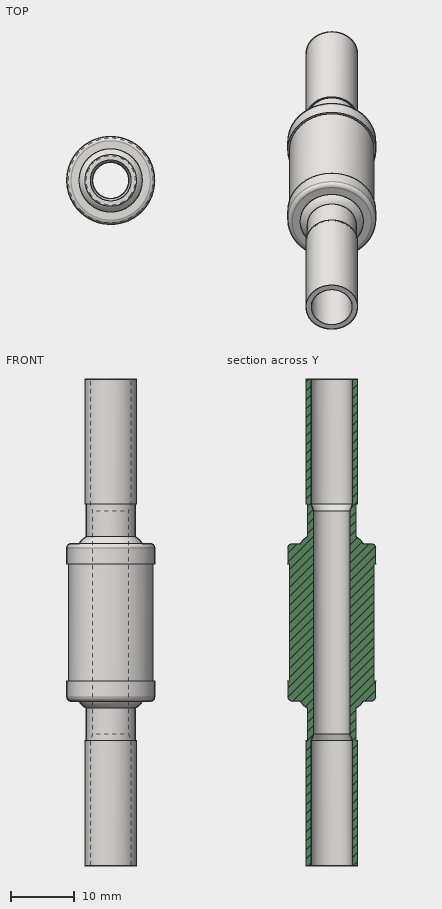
import cadquery as cq
import math

total_length = 76.2
half_length = total_length / 2
neck_end = 18.5
collar_end = 13.4
cap_end = 12.35
cap_start = 9.15

tube_radius = 8.1 / 2
neck_radius = 7.7 / 2
collar_radius = 9.9 / 2
cap_radius = 13.8 / 2
body_radius = 13.25 / 2
cap_edge_radius = 0.7

collar_bulge = 0.115
collar_height = collar_end - cap_end
collar_run = collar_radius - neck_radius
collar_slope_length = math.hypot(collar_run, collar_height)
collar_middle = (
    (collar_radius + neck_radius) / 2 + collar_bulge * collar_height / collar_slope_length,
    (cap_end + collar_end) / 2 + collar_bulge * collar_run / collar_slope_length,
)

cap_edge_inset = cap_edge_radius * (1 - math.sqrt(0.5))

mouth_radius = 6.4 / 2
bore_radius = 5.65 / 2
taper_length = 1.1
taper_start = neck_end
taper_end = taper_start - taper_length


def revolve_about_z(profile):
    """Turn a closed XZ profile through a full circle about the Z axis."""
    return profile.revolve(360, (0, 0, 0), (0, 1, 0))


def upper_end():
    """Outer shape of the upper end: cap, collar, neck and tube."""
    return revolve_about_z(
        cq.Workplane("XZ")
        .moveTo(0, cap_start)
        .lineTo(cap_radius, cap_start)
        .lineTo(cap_radius, cap_end - cap_edge_radius)
        .threePointArc(
            (cap_radius - cap_edge_inset, cap_end - cap_edge_inset),
            (cap_radius - cap_edge_radius, cap_end),
        )
        .lineTo(collar_radius, cap_end)
        .threePointArc(collar_middle, (neck_radius, collar_end))
        .lineTo(neck_radius, neck_end)
        .lineTo(tube_radius, neck_end)
        .lineTo(tube_radius, half_length)
        .lineTo(0, half_length)
        .close()
    )


def through_bore():
    """Narrow middle bore with a cone leading out to each wide tube mouth."""
    upper_wall = [
        (bore_radius, taper_end),
        (mouth_radius, taper_start),
        (mouth_radius, half_length),
    ]
    lower_wall = [(radius, -z) for radius, z in reversed(upper_wall)]
    return revolve_about_z(
        cq.Workplane("XZ")
        .polyline([(0, -half_length)] + lower_wall + upper_wall + [(0, half_length)])
        .close()
    )


body = (
    cq.Workplane("XY", origin=(0, 0, -cap_start))
    .circle(body_radius)
    .extrude(2 * cap_start)
)
end = upper_end()

result = body.union(end).union(end.mirror("XY")).cut(through_bore())